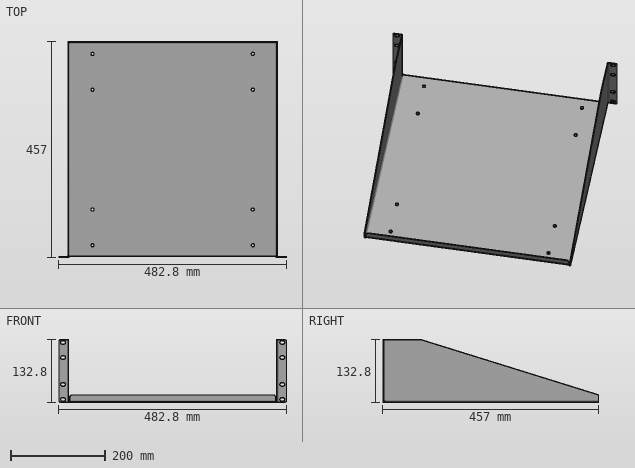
import cadquery as cq

width = 482.8
depth = 457.0
height = 132.8
sheet = 2.0

tray_width = 444.5
crest_depth = 81.5
rear_height = 16.0
bend_inner_radius = 1.0
bend_outer_radius = bend_inner_radius + sheet
bend_leg = 5.0

lip_gap = 2.0
lip_chamfer = 4.0

ear_corner_radius = 4.0
ear_slot_length = 10.0
ear_slot_height = 6.8
ear_slot_spacing_x = 465.0
ear_slot_offsets_z = (28.5, 60.5)

floor_hole_diameter = 6.5
floor_hole_spacing_x = 340.0
floor_hole_rows_y = (25.5, 101.5, 355.5, 431.0)

tray_half = tray_width / 2
wall_inner_x = tray_half - sheet
lip_width = 2 * (wall_inner_x - lip_gap)


def make_channel():
    """Floor and side walls bent from one sheet, with the wall tops sloping to the rear."""
    outer = (
        cq.Workplane("XY")
        .box(tray_width, depth, height, centered=(True, False, False))
        .edges("|Y and <Z")
        .fillet(bend_outer_radius)
    )
    inner = (
        cq.Workplane("XY", origin=(0, 0, sheet))
        .box(2 * wall_inner_x, depth, height, centered=(True, False, False))
        .edges("|Y and <Z")
        .fillet(bend_inner_radius)
    )
    side_outline = (
        cq.Workplane("YZ")
        .polyline([(0, 0), (depth, 0), (depth, rear_height), (crest_depth, height), (0, height)])
        .close()
        .extrude(tray_half, both=True)
    )
    floor_relief = cq.Workplane("XY").box(tray_width, sheet, sheet, centered=(True, False, False))
    wall_relief = (
        cq.Workplane("XY")
        .pushPoints([(side * (tray_half - sheet / 2), bend_leg / 2) for side in (-1, 1)])
        .rect(sheet, bend_leg)
        .extrude(height)
    )
    rear_relief = cq.Workplane("XY", origin=(0, depth - bend_leg, 0)).box(
        lip_width, bend_leg, sheet, centered=(True, False, False)
    )
    channel = outer.cut(inner).intersect(side_outline)
    return channel.cut(floor_relief).cut(wall_relief).cut(rear_relief)


def bent_profile(plane, leg_u, leg_v):
    """L-shaped sheet section: outer corner at the plane origin, legs along +u and +v."""
    return (
        plane.moveTo(bend_outer_radius, 0)
        .lineTo(leg_u, 0)
        .lineTo(leg_u, sheet)
        .lineTo(bend_outer_radius, sheet)
        .radiusArc((sheet, bend_outer_radius), bend_inner_radius)
        .lineTo(sheet, leg_v)
        .lineTo(0, leg_v)
        .lineTo(0, bend_outer_radius)
        .radiusArc((bend_outer_radius, 0), -bend_outer_radius)
        .close()
    )


def make_rear_lip():
    """Upturned strip bent from the rear edge of the floor, clear of both side walls."""
    section_plane = cq.Workplane(cq.Plane((lip_width / 2, depth, 0), (0, -1, 0), (-1, 0, 0)))
    return (
        bent_profile(section_plane, bend_leg, rear_height)
        .extrude(lip_width)
        .edges("|Y and >Z")
        .chamfer(lip_chamfer)
    )


def make_left_ear():
    """Slotted rack ear bent outward from the front of the left wall."""
    ear_width = width / 2 - wall_inner_x
    section_plane = cq.Workplane(cq.Plane((-wall_inner_x, 0, height), (-1, 0, 0), (0, 0, -1)))
    ear = (
        bent_profile(section_plane, ear_width, bend_leg)
        .extrude(height)
        .edges("|Y and <X")
        .fillet(ear_corner_radius)
    )
    slot_points = [
        (-ear_slot_spacing_x / 2, height / 2 + direction * offset)
        for offset in ear_slot_offsets_z
        for direction in (-1, 1)
    ]
    slots = (
        cq.Workplane("XZ")
        .pushPoints(slot_points)
        .slot2D(ear_slot_length, ear_slot_height)
        .extrude(-sheet)
    )
    return ear.cut(slots)


def make_floor_holes():
    """Through holes in two columns along the floor."""
    hole_points = [
        (side * floor_hole_spacing_x / 2, row_y)
        for side in (-1, 1)
        for row_y in floor_hole_rows_y
    ]
    return cq.Workplane("XY").pushPoints(hole_points).circle(floor_hole_diameter / 2).extrude(sheet)


left_ear = make_left_ear()
right_ear = left_ear.mirror("YZ")
shelf = make_channel().union(make_rear_lip()).union(left_ear).union(right_ear)

result = shelf.cut(make_floor_holes())